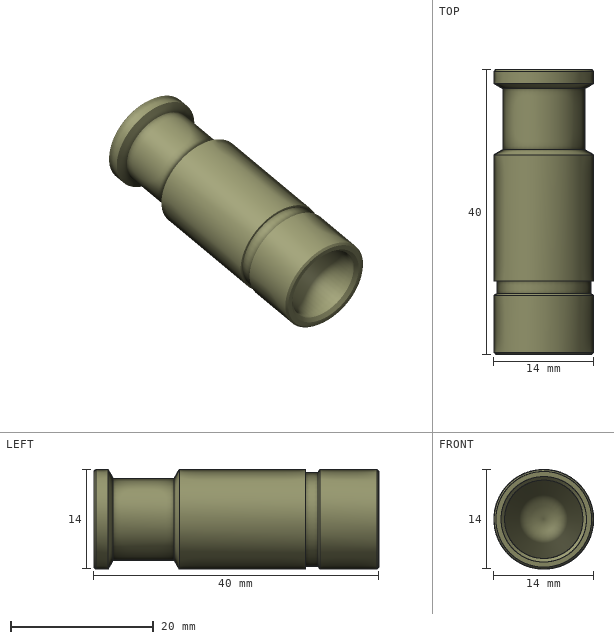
import cadquery as cq
import math

length = 40.0
outer_radius = 14.0 / 2
neck_radius = 11.5 / 2
groove_radius = 13.2 / 2
bore_radius = 11.0 / 2
mouth_radius = 12.0 / 2

end_chamfer = 0.3
groove_start = 8.3
groove_width = 2.0
groove_taper_length = 0.25
shoulder_start = 28.0
shoulder_length = 0.7
flange_length = 2.0
flange_taper_length = 0.7

bore_depth = 24.0
drill_point_angle = 140.0
mouth_angle = 90.0

groove_end = groove_start + groove_width
neck_start = shoulder_start + shoulder_length
flange_start = length - flange_length
neck_end = flange_start - flange_taper_length
mouth_depth = (mouth_radius - bore_radius) / math.tan(math.radians(mouth_angle / 2))
point_depth = bore_radius / math.tan(math.radians(drill_point_angle / 2))


def revolve_profile(points):
    """Revolve a closed (radius, distance from front) profile around Y."""
    return cq.Workplane("XY").polyline(points).close().revolve(360, (0, 0), (0, 1))


body = revolve_profile([
    (0, 0),
    (outer_radius - end_chamfer, 0),
    (outer_radius, end_chamfer),
    (outer_radius, groove_start),
    (groove_radius, groove_start + groove_taper_length),
    (groove_radius, groove_end),
    (outer_radius, groove_end),
    (outer_radius, shoulder_start),
    (neck_radius, neck_start),
    (neck_radius, neck_end),
    (outer_radius, flange_start),
    (outer_radius, length - end_chamfer),
    (outer_radius - end_chamfer, length),
    (0, length),
])

bore = revolve_profile([
    (0, 0),
    (mouth_radius, 0),
    (bore_radius, mouth_depth),
    (bore_radius, bore_depth),
    (0, bore_depth + point_depth),
])

result = body.cut(bore).translate((0, -length / 2, 0))